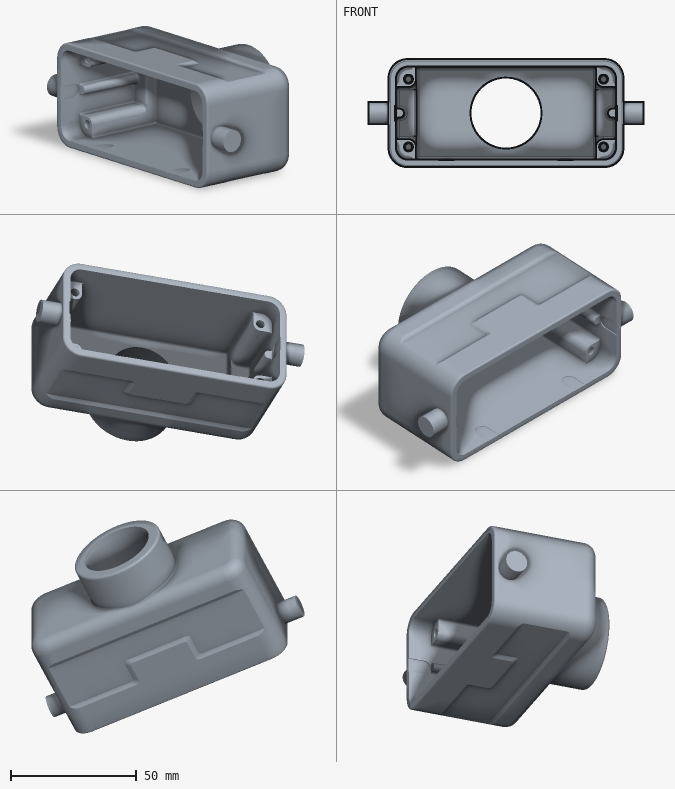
import cadquery as cq
import math

length, height, depth = 93.5, 43.0, 45.0
corner_radius = 7.7
back_radius = 4.9
rim_radius = 0.8

entry_diameter, entry_bore = 37.3, 28.1
entry_length = 16.0
entry_rim_radius = 1.0
entry_base_radius = 0.7

pin_diameter = 9.0
pin_span = 109.5
pin_y = 6.2

wall = 3.0
mouth_length, mouth_height = length - 2 * wall, height - 2 * wall
mouth_radius = 4.9
floor_y = depth - wall
draft = 0.7
inner_radius = 0.9

post_face_y = 9.4
post_inner_x, post_inner_z = 35.9, 10.4
post_radius = 2.7
screw_x, screw_z = 38.8, 13.5
screw_end_diameter, screw_mouth_diameter = 2.8, 3.6
screw_depth = 16.4

step_y = 37.2
step_edge_radius = 1.0

rib_half_width = 1.8
rib_reach = 3.3

slot_width, slot_length = 5.9, 9.3
lower_slot_x = 23.7
lower_slot_depth, end_slot_depth = 0.1, 0.3

panel_depth = 1.0
panel_front_y, panel_back_y = 13.9, 33.4
tab_half_width, tab_back_y = 14.3, 23.8
panel_run, tab_side_run = 1.6, 2.0
tab_corner_radius = 2.8

overlap = 5.5
near = 0.1


def facing_back(y):
    """Work plane at depth y looking toward +Y; its second axis is -Z."""
    return cq.Workplane(cq.Plane(origin=(0, y, 0), xDir=(1, 0, 0), normal=(0, 1, 0)))


def draft_shift(run):
    """Sideways drift of a drafted wall over a run in depth."""
    return run * math.tan(math.radians(draft))


def with_mirror(shape, plane):
    return shape.union(shape.mirror(plane))


def zone(x_range, y_range, z_range):
    """Selector for everything centred inside a box."""
    return cq.selectors.BoxSelector(*zip(x_range, y_range, z_range))


def make_body():
    body = facing_back(0).rect(length, height).extrude(depth).edges("|Y").fillet(corner_radius)
    body = body.faces(">Y").edges().fillet(back_radius)
    return body.faces("<Y").edges().fillet(rim_radius)


def add_entry(body):
    entry = facing_back(depth - overlap).circle(entry_diameter / 2).extrude(overlap + entry_length)
    entry = entry.faces(">Y").edges().fillet(entry_rim_radius)
    radius = entry_diameter / 2
    seam = zone((-radius, radius), (depth - back_radius / 2, depth + near), (-radius, radius))
    return body.union(entry).edges(seam).edges("not %LINE").fillet(entry_base_radius)


def make_pins():
    return (
        cq.Workplane("YZ", origin=(-pin_span / 2, 0, 0))
        .center(pin_y, 0)
        .circle(pin_diameter / 2)
        .extrude(pin_span)
    )


def panel_outline(z, rise):
    """Panel contour at height z, widened for a rise counted in panel depths."""
    front_y = panel_front_y - panel_run * rise
    back_y = panel_back_y + panel_run * rise
    tab_y = tab_back_y - panel_run * rise
    tab_x = tab_half_width - tab_side_run * rise
    points = [
        (-length, front_y), (-tab_x, front_y), (-tab_x, tab_y), (tab_x, tab_y),
        (tab_x, front_y), (length, front_y), (length, back_y), (-length, back_y),
    ]
    return cq.Wire.makePolygon([cq.Vector(x, y, z) for x, y in points], close=True)


def make_panel_cutter():
    """Sloped-wall cutter for the upper panel, carried on above the face."""
    extra_rise = 1.5
    floor_z = height / 2 - panel_depth
    top_z = floor_z + extra_rise * panel_depth
    lower, upper = panel_outline(floor_z, 0), panel_outline(top_z, extra_rise)
    cutter = cq.Workplane(cq.Solid.makeLoft([lower, upper], True))
    tab_corners = zone(
        (-tab_half_width, tab_half_width),
        (panel_front_y - panel_run, tab_back_y),
        (floor_z + near, top_z - near),
    )
    return cutter.edges(tab_corners).fillet(tab_corner_radius)


def make_end_block():
    """Solid end of the cavity behind the post faces, before its pocket is opened."""
    width = length / 2 - post_inner_x
    return (
        facing_back(post_face_y)
        .center(post_inner_x + width / 2, 0)
        .rect(width, height)
        .extrude(floor_y + overlap - post_face_y, taper=-draft)
    )


def make_rib():
    wall_x = mouth_length / 2
    arc_x = wall_x - rib_reach + rib_half_width
    return (
        facing_back(post_face_y)
        .moveTo(wall_x + overlap, -rib_half_width)
        .lineTo(arc_x, -rib_half_width)
        .threePointArc((wall_x - rib_reach, 0), (arc_x, rib_half_width))
        .lineTo(wall_x + overlap, rib_half_width)
        .close()
        .extrude(floor_y - post_face_y, taper=-draft)
    )


def make_pocket():
    """Space between two posts, flared around their rounded corners."""
    wall_x = mouth_length / 2 - draft_shift(post_face_y)
    open_x = post_inner_x - overlap
    flare_x, flare_z = post_inner_x + post_radius, post_inner_z + post_radius
    bend = post_radius * (1 - math.sqrt(0.5))
    middle_x, middle_z = post_inner_x + bend, post_inner_z + bend
    pocket = (
        facing_back(post_face_y)
        .moveTo(open_x, -flare_z)
        .lineTo(post_inner_x, -flare_z)
        .threePointArc((middle_x, -middle_z), (flare_x, -post_inner_z))
        .lineTo(wall_x, -post_inner_z)
        .lineTo(wall_x, post_inner_z)
        .lineTo(flare_x, post_inner_z)
        .threePointArc((middle_x, middle_z), (post_inner_x, flare_z))
        .lineTo(open_x, flare_z)
        .close()
        .extrude(step_y - post_face_y, taper=draft)
        .cut(make_rib())
    )
    middle_y = (post_face_y + step_y) / 2
    wall_corners = zone(
        (wall_x - rib_reach / 4, length), (middle_y - near, middle_y + near), (-height, height)
    )
    pocket = pocket.edges(wall_corners).fillet(inner_radius)
    step_edges = zone(
        (post_inner_x, length), (step_y - near, step_y + near), (-height, height)
    )
    return pocket.edges(step_edges).fillet(inner_radius)


def make_step_rounding():
    """Void that rounds off the edge between the step and the cavity floor recess."""
    edge_x = post_inner_x - draft_shift(step_y - post_face_y)
    half_width = post_inner_z - draft_shift(step_y - post_face_y) - inner_radius
    bend = step_edge_radius * (1 - math.sqrt(0.5))
    return (
        cq.Workplane("XY", origin=(0, 0, -half_width))
        .moveTo(edge_x - near, step_y - near)
        .lineTo(edge_x + step_edge_radius, step_y - near)
        .lineTo(edge_x + step_edge_radius, step_y)
        .threePointArc((edge_x + bend, step_y + bend), (edge_x, step_y + step_edge_radius))
        .lineTo(edge_x - near, step_y + step_edge_radius)
        .close()
        .extrude(2 * half_width)
    )


def make_cavity():
    post_corners = zone(
        (-post_inner_x, post_inner_x), (post_face_y + near, floor_y - near), (-height, height)
    )
    cavity = (
        facing_back(0)
        .sketch().rect(mouth_length, mouth_height).vertices().fillet(mouth_radius).finalize()
        .extrude(floor_y, taper=draft)
        .cut(with_mirror(make_end_block(), "YZ"))
        .edges(post_corners)
        .fillet(inner_radius)
        .faces(">Y").edges().fillet(inner_radius)
        .union(with_mirror(make_pocket(), "YZ"))
    )
    return cavity.union(with_mirror(make_step_rounding(), "YZ"))


def make_slot(bottom_z):
    """Round-ended slot cutter at X = 0 reaching down to bottom_z."""
    radius = slot_width / 2
    return (
        cq.Workplane("XY", origin=(0, 0, bottom_z))
        .moveTo(-radius, -overlap)
        .lineTo(-radius, slot_length - radius)
        .threePointArc((0, slot_length), (radius, slot_length - radius))
        .lineTo(radius, -overlap)
        .close()
        .extrude(overlap)
    )


def make_slots():
    lower = make_slot(-mouth_height / 2 - lower_slot_depth).translate((lower_slot_x, 0, 0))
    end = make_slot(-mouth_length / 2 - end_slot_depth).rotate((0, 0, 0), (0, 1, 0), 90)
    return with_mirror(lower, "YZ").union(with_mirror(end, "YZ"))


def make_screw_holes():
    hole = cq.Workplane(cq.Solid.makeCone(
        screw_mouth_diameter / 2, screw_end_diameter / 2, screw_depth,
        pnt=cq.Vector(screw_x, post_face_y, screw_z), dir=cq.Vector(0, 1, 0),
    ))
    return with_mirror(with_mirror(hole, "YZ"), "XY")


result = (
    add_entry(make_body())
    .cut(with_mirror(make_panel_cutter(), "XY"))
    .union(make_pins())
    .cut(make_cavity())
    .cut(make_slots())
    .cut(make_screw_holes())
    .cut(facing_back(0).circle(entry_bore / 2).extrude(depth + entry_length))
)